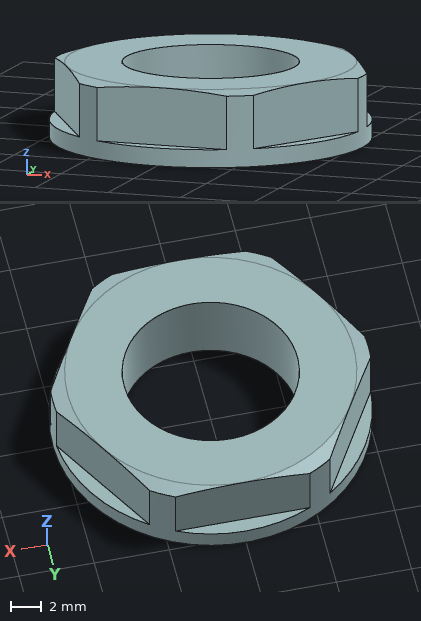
import cadquery as cq
import math

outer_diameter = 21.0
total_height = 5.0
flange_height = 1.2
across_flats = 19.0
bore_diameter = 11.5
chamfer_angle = 15.0
top_face_diameter = 18.98

outer_radius = outer_diameter / 2
top_face_radius = top_face_diameter / 2
chamfer_drop = (outer_radius - top_face_radius) * math.tan(math.radians(chamfer_angle))


def turned_blank():
    """Round body with a shallow conical chamfer around its top face."""
    return (
        cq.Workplane("XZ")
        .moveTo(0, 0)
        .lineTo(outer_radius, 0)
        .lineTo(outer_radius, total_height - chamfer_drop)
        .lineTo(top_face_radius, total_height)
        .lineTo(0, total_height)
        .close()
        .revolve(360, (0, 0, 0), (0, 1, 0))
    )


def nut_envelope():
    """Round flange below a hexagon with corners on the X axis."""
    across_corners = across_flats / math.cos(math.pi / 6)
    flange = cq.Workplane("XY").circle(outer_radius).extrude(flange_height)
    hexagon = cq.Workplane("XY").polygon(6, across_corners).extrude(total_height)
    return flange.union(hexagon)


nut = turned_blank().intersect(nut_envelope())
bore = cq.Workplane("XY").circle(bore_diameter / 2).extrude(total_height)
result = nut.cut(bore)